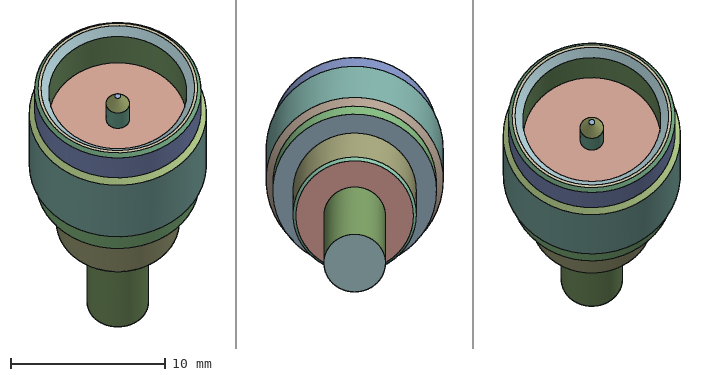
import cadquery as cq

total_height = 23.8

cable_radius = 2.0

ferrule_radius = 4.0
ferrule_bottom = 8.73
ferrule_chamfer = 0.2

collar_radius = 5.3
collar_bottom = 13.35

nut_diameter = 11.5
nut_radius = nut_diameter / 2
nut_bottom = 14.83
lower_bevel = nut_radius - collar_radius

rim_radius = 5.4
rim_bottom = 21.35
rim_chamfer = 0.24
upper_bevel = nut_radius - rim_radius

socket_radius = 4.47
socket_floor = 20.37
socket_lead_in = 0.5

pin_radius = 0.75
pin_tip_radius = 0.2
pin_shoulder = 22.09
pin_top = 22.92

half_profile = [
    (0, 0),
    (cable_radius, 0),
    (cable_radius, ferrule_bottom),
    (ferrule_radius - ferrule_chamfer, ferrule_bottom),
    (ferrule_radius, ferrule_bottom + ferrule_chamfer),
    (ferrule_radius, collar_bottom),
    (collar_radius, collar_bottom),
    (collar_radius, nut_bottom),
    (nut_radius, nut_bottom + lower_bevel),
    (nut_radius, rim_bottom - upper_bevel),
    (rim_radius, rim_bottom),
    (rim_radius, total_height - rim_chamfer),
    (rim_radius - rim_chamfer, total_height),
    (socket_radius + socket_lead_in, total_height),
    (socket_radius, total_height - socket_lead_in),
    (socket_radius, socket_floor),
    (pin_radius, socket_floor),
    (pin_radius, pin_shoulder),
    (pin_tip_radius, pin_top),
    (0, pin_top),
]

result = (
    cq.Workplane("XZ")
    .polyline(half_profile)
    .close()
    .revolve(360, (0, 0, 0), (0, 1, 0))
)